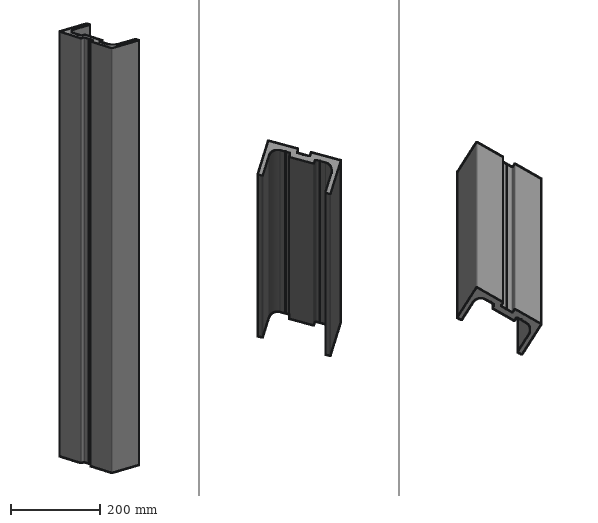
import cadquery as cq

WIDTH = 170.0
DEPTH = 85.0
LENGTH = 1000.0

FLANGE_THICKNESS = 12.0
WEB_THICKNESS = 15.0
INNER_CORNER_RADIUS = 20.0

EDGE_RADIUS = 1.0

RIB_WIDTH = 58.0
RIB_HEIGHT = 10.0
RIB_BASE_RADIUS = 2.0

GROOVE_WIDTH = 30.0
GROOVE_DEPTH = 10.0

GUIDE_WIDTH = 2.0
GUIDE_DEPTH = 1.0
WEB_GUIDE_OFFSET = 40.0

SELECTION_MARGIN = 0.1

WEB_OUTER_Y = -DEPTH / 2
FLANGE_TIP_Y = DEPTH / 2
WEB_INNER_Y = WEB_OUTER_Y + WEB_THICKNESS
RIB_TOP_Y = WEB_INNER_Y + RIB_HEIGHT
GROOVE_FLOOR_Y = WEB_OUTER_Y + GROOVE_DEPTH


def bar(width, y_start, y_end):
    """Full-length bar centred on X, spanning y_start to y_end, from Z = 0 up."""
    return (
        cq.Workplane("XY")
        .center(0, (y_start + y_end) / 2)
        .rect(width, y_end - y_start)
        .extrude(LENGTH)
    )


def round_edges(body, face, radius):
    """Round the lengthwise edges of the selected face."""
    return body.faces(face).edges("|Z").fillet(radius)


def channel():
    """U-shaped channel, open towards +Y, with a groove along its outer face."""
    groove = round_edges(bar(GROOVE_WIDTH, WEB_OUTER_Y, GROOVE_FLOOR_Y), ">Y", EDGE_RADIUS)
    cavity = bar(WIDTH - 2 * FLANGE_THICKNESS, WEB_INNER_Y, FLANGE_TIP_Y)
    cavity = round_edges(cavity, "<Y", INNER_CORNER_RADIUS)
    body = bar(WIDTH, WEB_OUTER_Y, FLANGE_TIP_Y).cut(groove)
    body = round_edges(body, "<Y", EDGE_RADIUS)
    body = body.cut(cavity)
    return round_edges(body, ">Y", EDGE_RADIUS)


def add_rib(body):
    """Add the rib with rounded top edges and blend its foot into the web."""
    rib = round_edges(bar(RIB_WIDTH, WEB_INNER_Y, RIB_TOP_Y), ">Y", EDGE_RADIUS)
    half_width = RIB_WIDTH / 2 + SELECTION_MARGIN
    foot = cq.selectors.BoxSelector(
        (-half_width, WEB_INNER_Y - SELECTION_MARGIN, 0),
        (half_width, WEB_INNER_Y + SELECTION_MARGIN, LENGTH),
    )
    return body.union(rib).edges("|Z").edges(foot).fillet(RIB_BASE_RADIUS)


def drilling_guide(x, surface_y, depth):
    """V-shaped cutter along Z; a negative depth cuts towards -Y."""
    half_width = GUIDE_WIDTH / 2
    return (
        cq.Workplane("XY")
        .moveTo(x - half_width, surface_y)
        .lineTo(x + half_width, surface_y)
        .lineTo(x, surface_y + depth)
        .close()
        .extrude(LENGTH)
    )


result = add_rib(channel())
result = result.cut(drilling_guide(0, GROOVE_FLOOR_Y, GUIDE_DEPTH))
for guide_x in (-WEB_GUIDE_OFFSET, WEB_GUIDE_OFFSET):
    result = result.cut(drilling_guide(guide_x, WEB_INNER_Y, -GUIDE_DEPTH))